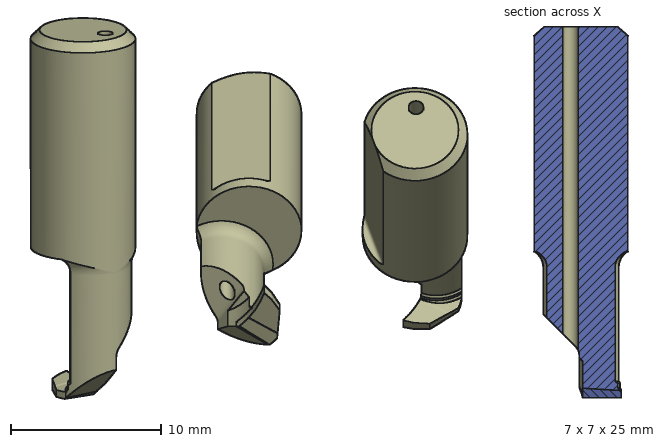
import cadquery as cq
import math


total_length = 25.0
shank_radius = 3.5
shank_bottom = 10.0
shank_chamfer = 0.6
clamp_flat_distance = 2.89
clamp_flat_bottom = 11.0
clamp_flat_fillet = 0.23
coolant_diameter = 1.0
coolant_x = 1.55
coolant_y = 0.69

neck_radius = 2.83
neck_left_x = 0.39
right_axis_x = shank_radius - neck_radius
left_axis_x = neck_left_x + neck_radius
flare_bottom = 9.0
flare_height = shank_bottom - flare_bottom
left_flare = 0.6
right_flare = 0.4

collar_step = 0.15
collar_top = 1.39
collar_lower_edge = 0.95

flat_y = 0.13
ramp_start_y = 2.54
ramp_start_z = 5.87
ramp_fillet = 0.8
corner_cut_z = 2.23

rake_low_x = 0.40
rake_low_y = -0.28
rake_end_x = 2.3
rake_wall_z = 2.95

tip_x = -1.79
tip_width = 1.0
flank_1 = (-1.62, -0.71)
flank_2 = (-1.17, -1.69)
heel_x = 0.79
seat_x = 1.62
root_x = 0.05
root_ramp = 0.15
underside_step_x = 0.45
blade_taper = 0.03
root_step = 0.04
side_clearance = 0.06

overrun = 5.0


def cylinder(x, radius, bottom, top):
    return cq.Workplane("XY", origin=(x, 0, bottom)).circle(radius).extrude(top - bottom)


def neck_arc_body(axis_x, flare):
    """Round bar for one neck arc, flaring out at the shank with an arc tangent to the bar."""
    flare_angle = 2 * math.atan(flare / flare_height)
    flare_radius = flare_height / math.sin(flare_angle)
    half = flare_angle / 2
    middle = (
        neck_radius + flare_radius * (1 - math.cos(half)),
        flare_bottom + flare_radius * math.sin(half),
    )
    profile = (
        cq.Workplane("XZ", origin=(axis_x, 0, 0))
        .lineTo(neck_radius, 0)
        .lineTo(neck_radius, flare_bottom)
        .threePointArc(middle, (neck_radius + flare, shank_bottom))
        .lineTo(0, shank_bottom)
        .close()
    )
    return profile.revolve(360, (0, 0, 0), (0, 1, 0))


def collar():
    first_radius = neck_radius + collar_step
    second_radius = first_radius + collar_step
    profile = (
        cq.Workplane("XZ", origin=(left_axis_x, 0, 0))
        .lineTo(second_radius, 0)
        .lineTo(second_radius, collar_lower_edge - collar_step)
        .lineTo(first_radius, collar_lower_edge)
        .lineTo(first_radius, collar_top - collar_step)
        .lineTo(neck_radius, collar_top)
        .lineTo(0, collar_top)
        .close()
    )
    return profile.revolve(360, (0, 0, 0), (0, 1, 0))


def clamp_flat_cutter():
    """Cutter for the flat that faces -X and +Y, with a rounded inner corner at its lower end."""
    diagonal = cq.Plane(origin=(0, 0, 0), xDir=(-1, 1, 0), normal=(1, 1, 0))
    block = (
        cq.Workplane(diagonal)
        .moveTo(clamp_flat_distance, clamp_flat_bottom)
        .lineTo(clamp_flat_distance + overrun, clamp_flat_bottom)
        .lineTo(clamp_flat_distance + overrun, total_length)
        .lineTo(clamp_flat_distance, total_length)
        .close()
        .extrude(overrun, both=True)
    )
    lower_inner_edge = cq.selectors.NearestToPointSelector(
        diagonal.toWorldCoords((clamp_flat_distance, clamp_flat_bottom, 0)).toTuple()
    )
    return block.edges(lower_inner_edge).fillet(clamp_flat_fillet)


def ramp_cutter():
    """Clears the +Y side of the neck: a 45 degree ramp running into the flat through a fillet."""
    ramp_end_z = ramp_start_z - (ramp_start_y - flat_y)
    block = (
        cq.Workplane("YZ")
        .moveTo(flat_y, -overrun)
        .lineTo(flat_y, ramp_end_z)
        .lineTo(flat_y + overrun, ramp_end_z + overrun)
        .lineTo(flat_y + overrun, -overrun)
        .close()
        .extrude(overrun, both=True)
    )
    return block.edges(cq.selectors.NearestToPointSelector((0, flat_y, ramp_end_z))).fillet(ramp_fillet)


def rake_cutter():
    """Curved rake groove from the cutting edge to the neck flat, ending in a 45 degree wall."""
    groove = (
        cq.Workplane("XY", origin=(0, 0, -overrun))
        .moveTo(tip_x, 0)
        .threePointArc((rake_low_x, rake_low_y), (rake_end_x, flat_y))
        .lineTo(rake_end_x, overrun)
        .lineTo(tip_x, overrun)
        .close()
        .extrude(2 * overrun)
    )
    end_wall = (
        cq.Workplane("YZ")
        .moveTo(flat_y, rake_wall_z)
        .lineTo(flat_y - overrun, rake_wall_z - overrun)
        .lineTo(flat_y - overrun, -overrun)
        .lineTo(flat_y, -overrun)
        .close()
        .extrude(overrun, both=True)
    )
    return groove.intersect(end_wall)


def corner_cutter():
    """Everything below the 45 degree cut at the lower right of neck and tip."""
    return (
        cq.Workplane("XZ")
        .moveTo(shank_radius + overrun, corner_cut_z + overrun)
        .lineTo(shank_radius - overrun, corner_cut_z - overrun)
        .lineTo(shank_radius + overrun, corner_cut_z - overrun)
        .close()
        .extrude(overrun, both=True)
    )


def tip_slab(extra_depth=0.0):
    """Tapered slab the tip is made from, thinning towards -Y; extra_depth lowers its underside."""
    root_inset = blade_taper * (root_x - tip_x)

    def section(y):
        bottom = -side_clearance * y
        top = tip_width - bottom
        bottom -= extra_depth
        return [
            (tip_x, bottom),
            (underside_step_x, bottom + root_step),
            (underside_step_x, bottom + 2 * root_step),
            (seat_x, bottom + 2 * root_step),
            (seat_x, top - root_inset - root_step),
            (root_x + root_ramp, top - root_inset - root_step),
            (root_x, top - root_inset),
            (tip_x, top),
        ]

    return (
        cq.Workplane("XZ")
        .polyline(section(0))
        .close()
        .workplane(offset=shank_radius)
        .polyline(section(-shank_radius))
        .close()
        .loft(ruled=True)
    )


def seat_cutter():
    """Recess for the tip: the slab, carried below the neck and past the flat on the +Y side."""
    slab = tip_slab(extra_depth=overrun)
    return slab.union(slab.faces(">Y").wires().toPending().workplane().extrude(overrun))


def tip_outline():
    def heel_point(x):
        return (x, -math.sqrt(neck_radius**2 - (x - right_axis_x) ** 2))

    return (
        cq.Workplane("XY", origin=(0, 0, -overrun))
        .moveTo(tip_x, 0)
        .lineTo(*flank_1)
        .lineTo(*flank_2)
        .lineTo(*heel_point(heel_x))
        .threePointArc(heel_point((heel_x + seat_x) / 2), heel_point(seat_x))
        .lineTo(seat_x, 0)
        .close()
        .extrude(2 * overrun)
    )


def make_holder():
    shank = cylinder(0, shank_radius, shank_bottom, total_length)
    shank = shank.faces(">Z").chamfer(shank_chamfer).cut(clamp_flat_cutter())

    neck = neck_arc_body(left_axis_x, left_flare).union(collar())
    neck = neck.intersect(neck_arc_body(right_axis_x, right_flare))
    neck = neck.intersect(cylinder(0, shank_radius, 0, shank_bottom))
    neck = neck.cut(ramp_cutter()).cut(rake_cutter()).cut(corner_cutter()).cut(seat_cutter())

    coolant_hole = (
        cq.Workplane("XY").center(coolant_x, coolant_y).circle(coolant_diameter / 2).extrude(total_length)
    )
    return shank.union(neck).cut(coolant_hole)


def make_tip():
    return tip_slab().intersect(tip_outline()).cut(rake_cutter()).cut(corner_cutter())


holder = make_holder()
tip = make_tip()

result = cq.Compound.makeCompound([holder.val(), tip.val()])